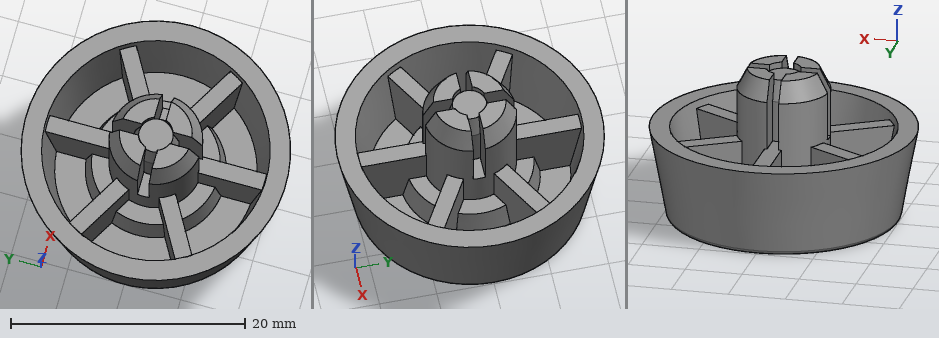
import cadquery as cq
import math

rim_radius = 11.5
rim_height = 7.98
total_height = 13.3
draft_angle = 10.6
wall_draft = math.tan(math.radians(draft_angle))
base_fillet = 0.44
cavity_rim_radius = 9.75
cavity_floor = 2.0

pad_top = 4.23
pad_top_radius = 5.5
pad_base_radius = 6.03

rib_count = 6
rib_width = 1.47
rib_top = 7.31

stud_radius = 4.0
stud_tip_radius = 3.1
stud_taper_height = 1.75
slot_width = 1.04
slot_floor = rib_top

pin_radius = 1.98
pin_tip_radius = 1.47
pin_recess = 0.55
pin_top = total_height - pin_recess
pin_taper_height = 1.82
pin_bottom = slot_floor


def cone(bottom_radius, bottom, top_radius, top):
    """Solid of revolution about Z with a straight, sloping side."""
    profile = [(0, bottom), (bottom_radius, bottom), (top_radius, top), (0, top)]
    return cq.Workplane("XZ").polyline(profile).close().revolve(360, (0, 0), (0, 1))


def cylinder(radius, bottom, top):
    return cq.Workplane("XY").workplane(offset=bottom).circle(radius).extrude(top - bottom)


def cavity():
    floor_radius = cavity_rim_radius - (rim_height - cavity_floor) * wall_draft
    return cone(floor_radius, cavity_floor, cavity_rim_radius, rim_height)


def cup():
    base_radius = rim_radius - rim_height * wall_draft
    outside = cone(base_radius, 0, rim_radius, rim_height)
    return outside.faces("<Z").edges().fillet(base_fillet).cut(cavity())


def ribs():
    """Spokes from the stud to the sloping cavity wall."""
    spokes = cq.Workplane("XY")
    for index in range(rib_count // 2):
        spoke = (
            cq.Workplane("XY")
            .workplane(offset=cavity_floor)
            .rect(rib_width, 2 * cavity_rim_radius)
            .extrude(rib_top - cavity_floor)
            .rotate((0, 0, 0), (0, 0, 1), index * 360 / rib_count)
        )
        spokes = spokes.add(spoke)
    return spokes.combine().intersect(cavity())


def stud():
    """Post with a tapered tip."""
    shoulder = total_height - stud_taper_height
    post = cylinder(stud_radius, cavity_floor, shoulder)
    return post.union(cone(stud_radius, shoulder, stud_tip_radius, total_height))


def cross_slots():
    """Two crossing slots that split the stud into four fingers."""
    slot = (
        cq.Workplane("XY")
        .workplane(offset=slot_floor)
        .rect(2 * stud_radius, slot_width)
        .extrude(total_height - slot_floor)
    )
    return slot.union(slot.rotate((0, 0, 0), (0, 0, 1), 90))


def make_pin():
    shoulder = pin_top - pin_taper_height
    shank = cylinder(pin_radius, pin_bottom, shoulder)
    return shank.union(cone(pin_radius, shoulder, pin_tip_radius, pin_top))


def make_foot(pin):
    """Cup, pad, ribs and split stud in one piece, with a seat that fits the pin."""
    pad = cone(pad_base_radius, cavity_floor, pad_top_radius, pad_top)
    foot = cup().union(pad).union(ribs()).union(stud())
    mouth = cylinder(pin_tip_radius, pin_top, total_height)
    return foot.cut(cross_slots()).cut(pin).cut(mouth)


pin = make_pin()
foot = make_foot(pin)
result = cq.Compound.makeCompound([foot.val(), pin.val()])